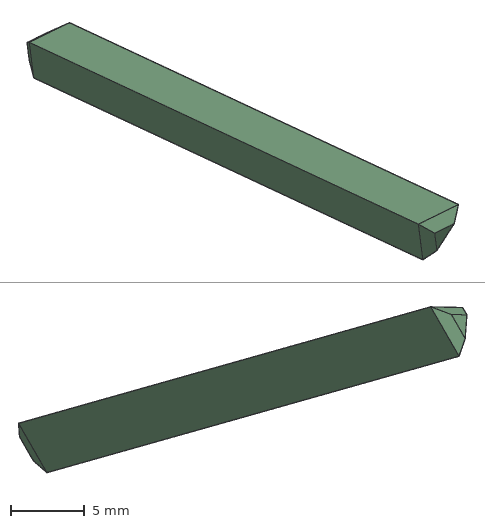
import cadquery as cq
import math

length = 32.0
depth = 5.47
height = 4.85
end_chamfer = 0.75

roll = math.atan((depth - height) / height)
leg = height / math.cos(roll)
rise = leg * math.sin(roll)

top_corner = (-depth / 2, height / 2)
right_angle_corner = (-depth / 2 + rise, -height / 2)
back_corner = (depth / 2, -height / 2 + rise)

bar = (
    cq.Workplane("YZ")
    .polyline([top_corner, right_angle_corner, back_corner])
    .close()
    .extrude(length / 2, both=True)
)

result = bar.faces("<X or >X").chamfer(end_chamfer)